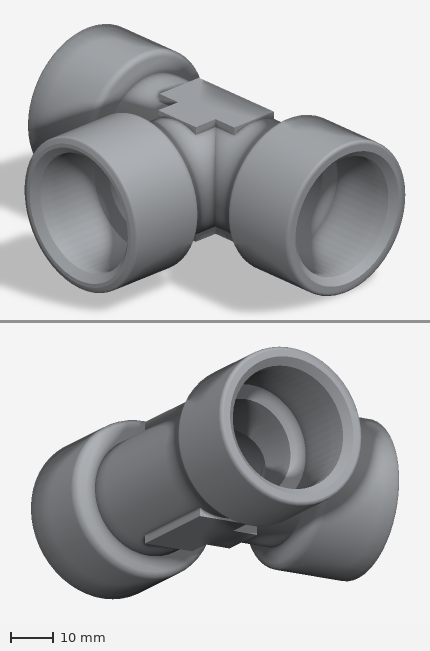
import cadquery as cq
import math

port_reach = 45.0
collar_radius = 39.0 / 2
collar_straight = 19.5
collar_length = 22.2
shoulder_slope = 15.0
shoulder_round = 1.8
run_rim_round = 0.9
branch_rim_round = 0.7
branch_rim_slope = 20.0
branch_face_radius = 17.9
neck_radius = 14.5

bore_radius = 24.0 / 2
socket_radius = 15.1
socket_depth = 19.35
socket_cone_angle = 59.0
entry_radius = 16.9

pad_width = 25.8
pad_stem_width = pad_width / 2
pad_half_depth = pad_width / 4
pad_stem_reach = pad_width / 2
pad_height = 15.0


def revolved_port(profile):
    """Revolve a (radius, Y) outline about the Y axis."""
    return profile.close().revolve(360, (0, 0, 0), (0, 1, 0))


def point_on_arc(center, radius, angle):
    """Point at an angle in radians from the +X direction of the profile."""
    return (center[0] + radius * math.cos(angle), center[1] + radius * math.sin(angle))


def port_body(rim_round, rim_slope, face_radius):
    """Neck and collar of a port facing -Y; the rim's cone ends at face_radius on the port face."""
    shoulder_center = (collar_radius - shoulder_round, -port_reach + collar_straight)
    shoulder_end = math.radians(90 - shoulder_slope)

    rim_end = math.radians(rim_slope - 90)
    rim_center_radius = collar_radius - rim_round
    cone_width = rim_center_radius + rim_round * math.cos(rim_end) - face_radius
    cone_rise = cone_width * math.tan(math.radians(rim_slope))
    rim_center = (rim_center_radius, -port_reach + cone_rise - rim_round * math.sin(rim_end))

    profile = (
        cq.Workplane("XY")
        .lineTo(neck_radius, 0)
        .lineTo(neck_radius, -port_reach + collar_length)
        .lineTo(*point_on_arc(shoulder_center, shoulder_round, shoulder_end))
        .threePointArc(
            point_on_arc(shoulder_center, shoulder_round, shoulder_end / 2),
            point_on_arc(shoulder_center, shoulder_round, 0),
        )
        .lineTo(*point_on_arc(rim_center, rim_round, 0))
        .threePointArc(
            point_on_arc(rim_center, rim_round, rim_end / 2),
            point_on_arc(rim_center, rim_round, rim_end),
        )
    )
    if rim_slope > 0:
        profile = profile.lineTo(face_radius, -port_reach)
    return revolved_port(profile.lineTo(0, -port_reach))


def port_cavity():
    """Bore, socket and entry chamfer of a port facing -Y."""
    entry_depth = entry_radius - socket_radius
    cone_depth = (socket_radius - bore_radius) / math.tan(math.radians(socket_cone_angle))
    profile = (
        cq.Workplane("XY")
        .lineTo(bore_radius, 0)
        .lineTo(bore_radius, -port_reach + socket_depth + cone_depth)
        .lineTo(socket_radius, -port_reach + socket_depth)
        .lineTo(socket_radius, -port_reach + entry_depth)
        .lineTo(entry_radius, -port_reach)
        .lineTo(0, -port_reach)
    )
    return revolved_port(profile)


def tee(run_port, branch_port):
    """Turn the run port to both ends of the run and join the branch port."""
    run_left = run_port.rotate((0, 0, 0), (0, 0, 1), -90)
    run_right = run_port.rotate((0, 0, 0), (0, 0, 1), 90)
    return run_left.union(run_right).union(branch_port)


def pads():
    """T-shaped flats on the top and bottom of the body."""
    thickness = 2 * pad_height
    crossbar = cq.Workplane("XY").box(pad_width, 2 * pad_half_depth, thickness)
    stem = (
        cq.Workplane("XY")
        .box(pad_stem_width, pad_stem_reach, thickness)
        .translate((0, -pad_stem_reach / 2, 0))
    )
    return crossbar.union(stem)


run_body = port_body(run_rim_round, 0, collar_radius - run_rim_round)
branch_body = port_body(branch_rim_round, branch_rim_slope, branch_face_radius)
cavity = port_cavity()

result = tee(run_body, branch_body).union(pads()).cut(tee(cavity, cavity))